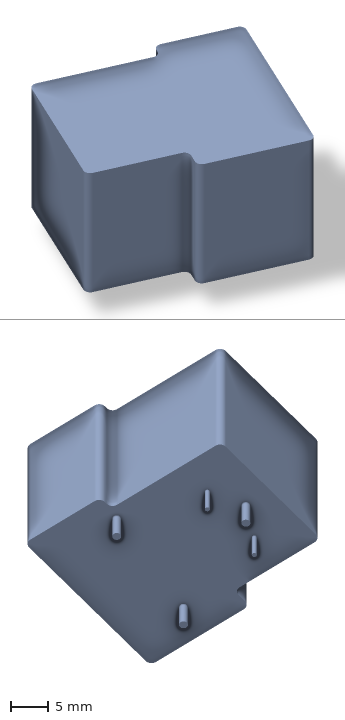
import cadquery as cq

width = 27.4
depth = 31.8
housing_height = 20.0
left_step = 2.4
right_step = 3.4
left_shoulder_y = 2.93
right_shoulder_y = -1.1
corner_radius = 1.0

pin_length = 3.7
contact_diameter = 1.2
coil_diameter = 0.7
contact_offset = 8.9
coil_offset = 5.12
common_contact_y = -11.65
left_contact_y = 3.5
right_contact_y = 6.05
coil_y = -9.05

rear_x = width / 2
end_y = depth / 2
front_left_x = -rear_x + left_step
front_right_x = rear_x - right_step
pin_middle_x = (front_left_x + front_right_x) / 2


def make_housing():
    """Stepped block with all its vertical edges rounded."""
    outline = [
        (-rear_x, end_y),
        (-rear_x, left_shoulder_y),
        (front_left_x, left_shoulder_y),
        (front_left_x, -end_y),
        (front_right_x, -end_y),
        (front_right_x, right_shoulder_y),
        (rear_x, right_shoulder_y),
        (rear_x, end_y),
    ]
    block = cq.Workplane("XY").polyline(outline).close().extrude(housing_height)
    return block.edges("|Z").fillet(corner_radius)


def make_pin(x, y, diameter):
    """Round pin hanging down from the underside of the housing."""
    return cq.Workplane("XY").center(x, y).circle(diameter / 2).extrude(-pin_length)


housing = make_housing()

contact_places = [
    (pin_middle_x - contact_offset, left_contact_y),
    (pin_middle_x, common_contact_y),
    (pin_middle_x + contact_offset, right_contact_y),
]
contact_pins = [make_pin(x, y, contact_diameter).val() for x, y in contact_places]

coil_places = [(pin_middle_x + side * coil_offset, coil_y) for side in (-1, 1)]
coil_pins = [make_pin(x, y, coil_diameter).val() for x, y in coil_places]

result = cq.Compound.makeCompound([housing.val(), *contact_pins, *coil_pins])